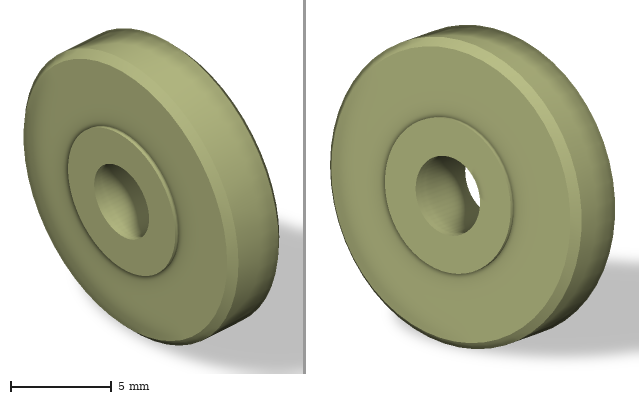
import cadquery as cq

wheel_diameter = 16.0
wheel_width = 3.5
rim_chamfer = 0.4
hub_diameter = wheel_diameter / 2
hub_width = 4.0
bore_diameter = 4.1


def centered_disc(diameter, width):
    """Disc about the Y axis, centred on the origin."""
    back_plane = cq.Workplane("XZ", origin=(0, width / 2, 0))
    return back_plane.circle(diameter / 2).extrude(width)


wheel = centered_disc(wheel_diameter, wheel_width).edges("%CIRCLE").chamfer(rim_chamfer)

hub = centered_disc(hub_diameter, hub_width)

bore = centered_disc(bore_diameter, hub_width)

result = wheel.union(hub).cut(bore)